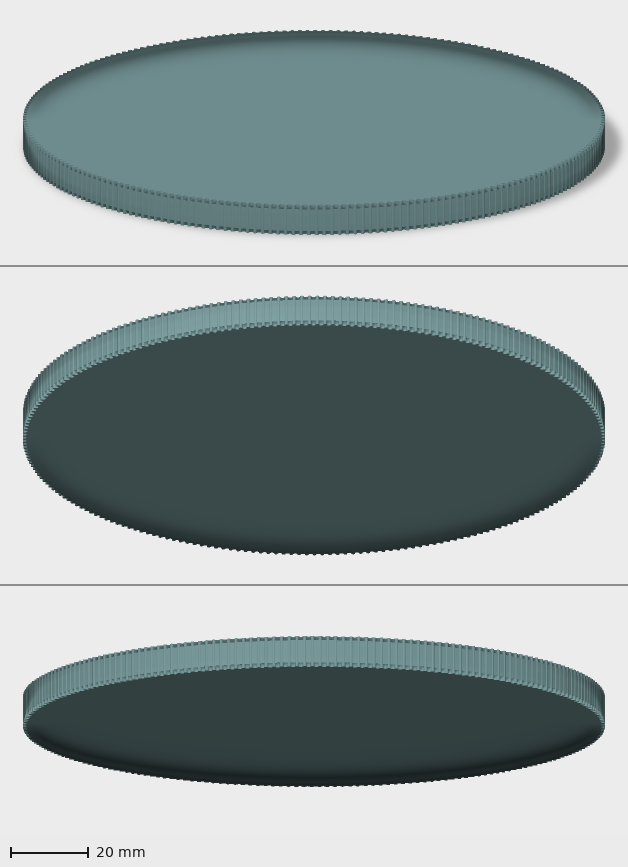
import cadquery as cq
import math

outer_diameter = 149.6
thickness = 8.0
outer_radius = outer_diameter / 2

groove_count = 235
first_groove_angle = -90
groove_width = 1.12
crest_round = 0.42

band_edge_inset = 1.0
band_recess = 0.1
band_wall = 0.07


def groove_cutter():
    """One groove with its mouth at the origin, opening toward +X."""
    half_width = groove_width / 2
    mouth_half_width = half_width + crest_round
    mouth_x = math.sqrt(outer_radius**2 - mouth_half_width**2) - outer_radius
    shoulder_x = mouth_x - crest_round
    floor_x = shoulder_x - half_width
    arc_sag = crest_round * (1 - math.sqrt(0.5))
    overrun_x = crest_round

    return (
        cq.Workplane("XY")
        .moveTo(overrun_x, -mouth_half_width)
        .lineTo(mouth_x, -mouth_half_width)
        .threePointArc((mouth_x - arc_sag, -half_width - arc_sag), (shoulder_x, -half_width))
        .threePointArc((floor_x, 0), (shoulder_x, half_width))
        .threePointArc((mouth_x - arc_sag, half_width + arc_sag), (mouth_x, mouth_half_width))
        .lineTo(overrun_x, mouth_half_width)
        .close()
        .extrude(thickness)
        .val()
    )


def fluted_disc():
    """Plain disc with the grooves cut through its full thickness all around the rim."""
    cutter = groove_cutter()
    grooves = (
        cq.Workplane("XY")
        .polarArray(outer_radius, first_groove_angle, 360, groove_count)
        .eachpoint(lambda location: cutter.moved(location))
    )
    return cq.Workplane("XY").circle(outer_radius).extrude(thickness).cut(grooves)


def rim_band():
    """Thin ring just below the tooth crests, set in from both faces."""
    band_radius = outer_radius - band_recess
    return (
        cq.Workplane("XY")
        .workplane(offset=band_edge_inset)
        .circle(band_radius)
        .circle(band_radius - band_wall)
        .extrude(thickness - 2 * band_edge_inset)
    )


result = fluted_disc().union(rim_band())